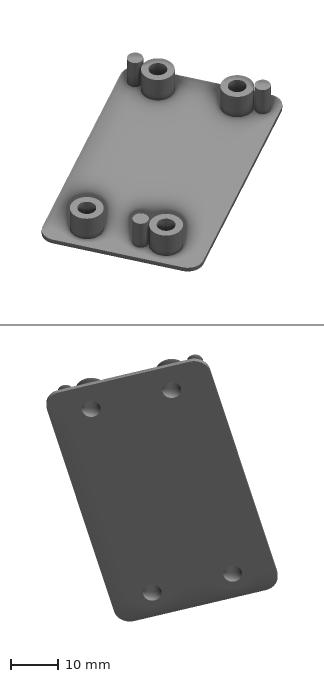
import cadquery as cq

plate_width = 36.0
plate_length = 60.0
plate_thickness = 1.0
corner_radius = 3.5

boss_diameter = 7.2
boss_hole_diameter = 4.0
boss_top = 6.65
boss_x = 8.9
boss_y = 24.1

pin_diameter = 3.5
pin_top = 7.7
pin_offset_x = 5.4
pin_offset_y = 0.9

boss_centers = [(x, y) for x in (-boss_x, boss_x) for y in (-boss_y, boss_y)]
back_pin_y = boss_y + pin_offset_y
pin_centers = [
    (-boss_x - pin_offset_x, back_pin_y),
    (boss_x + pin_offset_x, back_pin_y),
    (boss_x - pin_offset_x, -back_pin_y),
]


def posts(centers, diameter, top):
    """Round posts rising from the underside of the plate to the given height."""
    return cq.Workplane("XY").pushPoints(centers).circle(diameter / 2).extrude(top)


plate = (
    cq.Workplane("XY")
    .rect(plate_width, plate_length)
    .extrude(plate_thickness)
    .edges("|Z")
    .fillet(corner_radius)
)
bosses = posts(boss_centers, boss_diameter, boss_top)
boss_holes = posts(boss_centers, boss_hole_diameter, boss_top)
pins = posts(pin_centers, pin_diameter, pin_top)

result = plate.union(bosses).union(pins).cut(boss_holes)